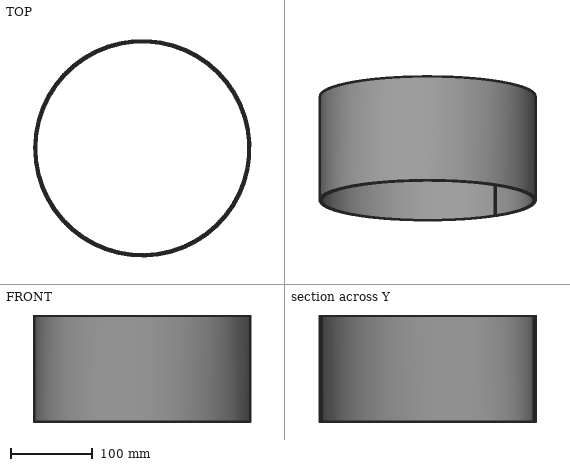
import cadquery as cq

outer_diameter = 265.0
wall_thickness = 2.5
height = 130.0
outer_chamfer = 0.5
inner_chamfer = 0.2
slit_angle = 1.0

outer_radius = outer_diameter / 2
inner_radius = outer_radius - wall_thickness
sweep_angle = 360.0 - slit_angle


def wall_section():
    """Wall profile in the XZ plane on the -X side, with all four rim edges chamfered."""
    return (
        cq.Workplane("XZ")
        .moveTo(-inner_radius - inner_chamfer, 0)
        .lineTo(-outer_radius + outer_chamfer, 0)
        .lineTo(-outer_radius, outer_chamfer)
        .lineTo(-outer_radius, height - outer_chamfer)
        .lineTo(-outer_radius + outer_chamfer, height)
        .lineTo(-inner_radius - inner_chamfer, height)
        .lineTo(-inner_radius, height - inner_chamfer)
        .lineTo(-inner_radius, inner_chamfer)
        .close()
    )


def split_ring():
    """Sweep the wall about Z, leaving a full-height slit from the XZ plane toward +Y."""
    axis_start = (0, 0, 0)
    axis_end = (0, 1, 0)
    return wall_section().revolve(sweep_angle, axis_start, axis_end)


result = split_ring()